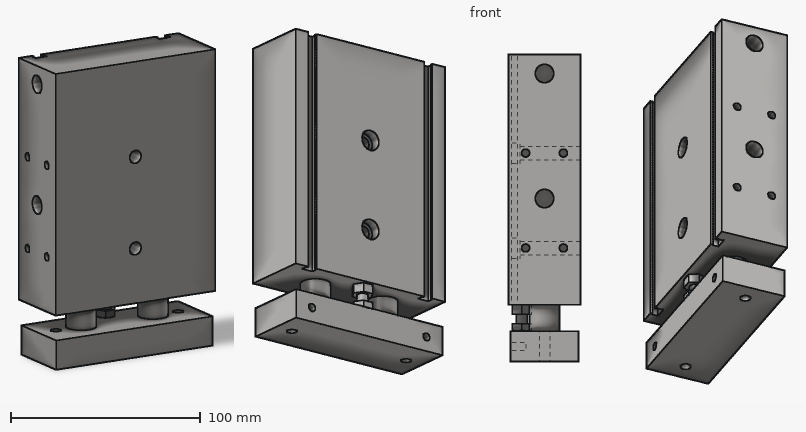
import cadquery as cq
import math


total_height = 162.0
housing_width = 38.0
housing_length = 98.0
housing_height = 132.0
housing_bottom = total_height - housing_height

plate_width = 36.0
plate_length = 96.0
plate_height = 16.0
rod_diameter = 16.0
rod_spacing = 44.0

slot_edge_distance = 11.0
slot_neck_width = 5.3
slot_neck_depth = 1.5
slot_cavity_width = 6.6
slot_depth = 4.7

mount_levels = (52.0, 102.0)
bolt_hole_diameter = 7.0
counterbore_diameter = 11.0
counterbore_depth = 6.0
side_hole_diameter = 4.2
side_hole_spacing = 20.0
side_hole_depth = 8.1
port_diameter = 9.7
port_levels = (10.0, 76.0)
port_depth = 11.3

plate_hole_spacing = 75.0
plate_through_diameter = 5.5
plate_side_diameter = 4.2
plate_side_depth = 8.1

screw_x = -12.0
screw_diameter = 6.0
hex_across_flats = 10.0
hex_across_corners = hex_across_flats / math.cos(math.radians(30))
screw_head_height = 5.0
nut_height = 4.0
nut_base_diameter = 9.4
nut_chamfer_angle = 30.0


def cylinder(start, direction, diameter, length):
    """Round bar running from the start point along the direction."""
    return cq.Workplane(
        cq.Solid.makeCylinder(diameter / 2, length, cq.Vector(*start), cq.Vector(*direction))
    )


def block(width, length, height, bottom):
    """Box centred on the Z axis, standing on the bottom level."""
    return cq.Workplane().box(width, length, height, centered=(True, True, False)).translate((0, 0, bottom))


def slot_cutter(y):
    """T-shaped slot running the full housing height."""
    neck = block(2 * slot_neck_depth, slot_neck_width, housing_height, housing_bottom)
    cavity_depth = slot_depth - slot_neck_depth
    cavity = block(cavity_depth, slot_cavity_width, housing_height, housing_bottom)
    cavity = cavity.translate((slot_neck_depth + cavity_depth / 2, 0, 0))
    return neck.union(cavity).translate((-housing_width / 2, y, 0))


def make_housing():
    left_face = -housing_width / 2
    front_face = -housing_length / 2
    housing = block(housing_width, housing_length, housing_height, housing_bottom)

    slot_y = housing_length / 2 - slot_edge_distance
    for y in (-slot_y, slot_y):
        housing = housing.cut(slot_cutter(y))

    for level in mount_levels:
        z = total_height - level
        start = (left_face, 0, z)
        housing = housing.cut(cylinder(start, (1, 0, 0), bolt_hole_diameter, housing_width))
        housing = housing.cut(cylinder(start, (1, 0, 0), counterbore_diameter, counterbore_depth))
        for x in (-side_hole_spacing / 2, side_hole_spacing / 2):
            start = (x, front_face, z)
            housing = housing.cut(cylinder(start, (0, 1, 0), side_hole_diameter, side_hole_depth))

    for level in port_levels:
        start = (0, front_face, total_height - level)
        housing = housing.cut(cylinder(start, (0, 1, 0), port_diameter, port_depth))
    return housing


def make_rod_plate():
    """End plate with its two guide rods, which reach the housing underside."""
    plate = block(plate_width, plate_length, plate_height, 0)
    rod_length = housing_bottom - plate_height
    for side in (-1, 1):
        rod_y = side * rod_spacing / 2
        plate = plate.union(cylinder((0, rod_y, plate_height), (0, 0, 1), rod_diameter, rod_length))

        hole_y = side * plate_hole_spacing / 2
        plate = plate.cut(cylinder((0, hole_y, 0), (0, 0, 1), plate_through_diameter, plate_height))
        start = (-plate_width / 2, hole_y, plate_height / 2)
        plate = plate.cut(cylinder(start, (1, 0, 0), plate_side_diameter, plate_side_depth))
    return plate


def hexagon(bottom, height):
    """Hexagonal prism with corners toward -Y and +Y."""
    prism = cq.Workplane().polygon(6, hex_across_corners).extrude(height)
    return prism.rotate((0, 0, 0), (0, 0, 1), 90).translate((screw_x, 0, bottom))


def make_nut_shape():
    """Hex nut whose lower corners are trimmed by a cone to a round base."""
    bottom_radius = nut_base_diameter / 2
    top_radius = bottom_radius + nut_height / math.tan(math.radians(nut_chamfer_angle))
    cone = cq.Workplane(cq.Solid.makeCone(bottom_radius, top_radius, nut_height))
    return hexagon(plate_height, nut_height).intersect(cone.translate((screw_x, 0, plate_height)))


def make_stop_screw():
    """Screw standing on the plate, with its head against the housing and a nut on the plate."""
    screw_length = housing_bottom - plate_height
    shank = cylinder((screw_x, 0, plate_height), (0, 0, 1), screw_diameter, screw_length)
    head = hexagon(housing_bottom - screw_head_height, screw_head_height)
    return shank.union(head).union(make_nut_shape())


housing = make_housing()
rod_plate = make_rod_plate()
stop_screw = make_stop_screw()

result = cq.Compound.makeCompound([housing.val(), rod_plate.val(), stop_screw.val()])